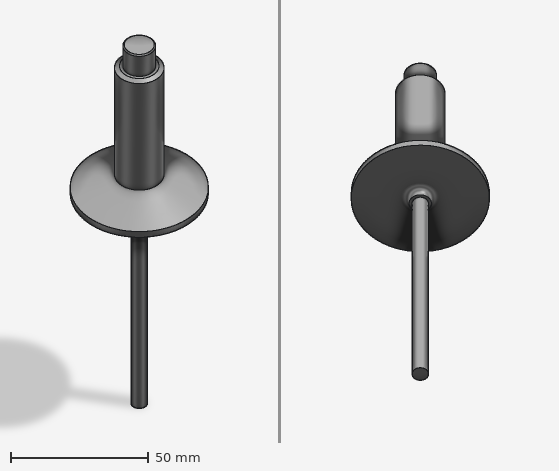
import cadquery as cq
import math

total_height = 171.0
flange_radius = 25.22

rod_radius = 3.0
collar_radius = 4.1
body_radius = 9.0
pin_radius = 6.0

pin_length = 10.1
body_length = 51.6
cone_height = 6.2
rim_height = 2.7

pin_chamfer = 0.5
shoulder_chamfer_width = 1.9
shoulder_chamfer_height = 0.9
flare_radius = 2.9

shoulder_z = total_height - pin_length
cone_top_z = shoulder_z - body_length
rim_top_z = cone_top_z - cone_height
rim_bottom_z = rim_top_z - rim_height
collar_bottom_z = rim_bottom_z - flare_radius

flare_mid_offset = flare_radius * (1 - math.sqrt(0.5))
flare_mid = (collar_radius + flare_mid_offset, rim_bottom_z - flare_mid_offset)

profile = (
    cq.Workplane("XZ")
    .moveTo(0, 0)
    .lineTo(rod_radius, 0)
    .lineTo(rod_radius, collar_bottom_z)
    .lineTo(collar_radius, collar_bottom_z)
    .threePointArc(flare_mid, (collar_radius + flare_radius, rim_bottom_z))
    .lineTo(flange_radius, rim_bottom_z)
    .lineTo(flange_radius, rim_top_z)
    .lineTo(body_radius, cone_top_z)
    .lineTo(body_radius, shoulder_z - shoulder_chamfer_height)
    .lineTo(body_radius - shoulder_chamfer_width, shoulder_z)
    .lineTo(pin_radius, shoulder_z)
    .lineTo(pin_radius, total_height - pin_chamfer)
    .lineTo(pin_radius - pin_chamfer, total_height)
    .lineTo(0, total_height)
    .close()
)

result = profile.revolve(360, (0, 0, 0), (0, 1, 0))